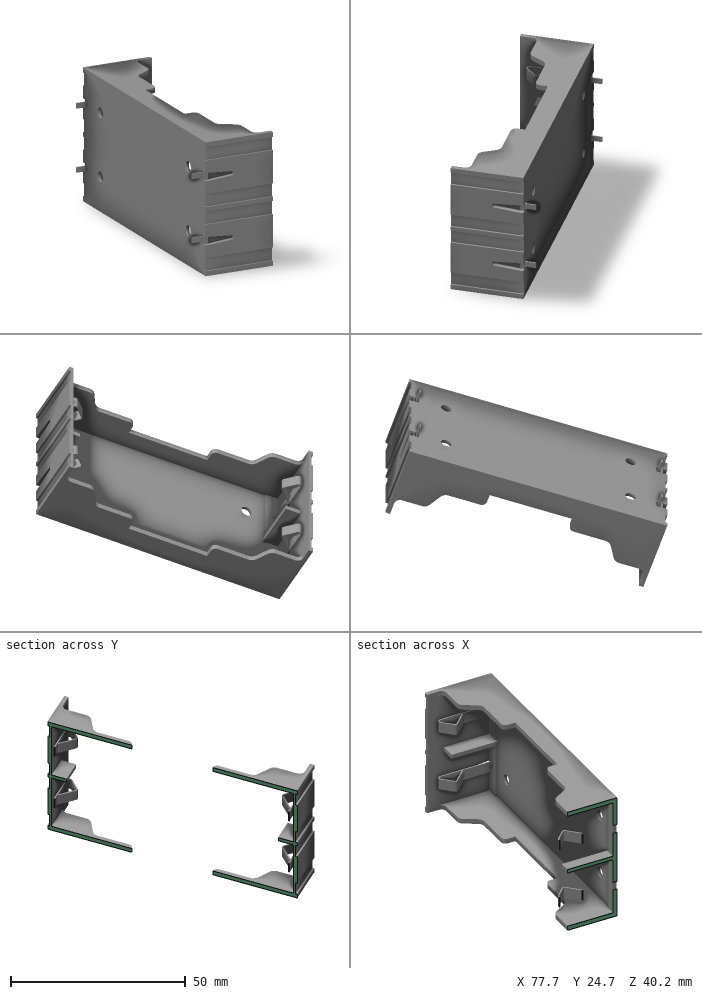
import cadquery as cq
import math

length = 77.7
width = 40.25
end_height = 21.5
wall = 1.3
side_wall = 1.55
floor_thickness = 1.0
end_floor_thickness = 1.4
end_floor_length = 3.9

shelf_height = 16.2
step_height = 10.4
notch_height = 6.5
notch_half_width = 12.5
ramp_top_x = 28.35
ramp_angle = 60.0
end_corner_radius = 1.7
ramp_radius = 2.3
notch_corner_radius = 1.55

rib_thickness = 1.3
rib_length = 4.7

cell_pitch = 19.3
cell_axes = [-cell_pitch / 2, cell_pitch / 2]

hole_diameter = 3.2
hole_spacing = 55.6

groove_depth = 0.55
groove_width = 4.0
groove_offset = 7.0

strip_thickness = 0.4
slot_width = 2.4
body_width = 3.4
pin_width = 1.6
pin_length = 3.2
shoulder_y = end_floor_thickness
terminal_top = 18.95
top_bend_radius = 1.0
spring_angle = 45.0
contact_reach = 4.7
contact_radius = 0.6
leg_clearance = 0.1
left_leg_inset = 2.2
right_leg_inset = 2.65

slot_length = 1.3
window_top = 9.1
window_tip_width = 1.2

ends = [(-1, left_leg_inset), (1, right_leg_inset)]


def box(x_range, y_range, z_range):
    """Axis-aligned box from its limits, given in either order."""
    spans = [sorted(limits) for limits in (x_range, y_range, z_range)]
    sizes = [high - low for low, high in spans]
    corner = cq.Vector(*[low for low, high in spans])
    return cq.Workplane(cq.Solid.makeBox(*sizes, corner))


def round_corners(body, x, y, radius):
    """Round the two mirrored outline corners at +x and -x."""
    reach = 0.1
    for side in (-1, 1):
        low = (side * x - reach, y - reach, -reach)
        high = (side * x + reach, y + reach, reach)
        body = body.edges(cq.selectors.BoxSelector(low, high)).fillet(radius)
    return body


def side_profile_body():
    """Solid block with the stepped outline of the long side walls."""
    half = length / 2
    inner = half - wall
    ramp_run = (shelf_height - step_height) / math.tan(math.radians(ramp_angle))
    ramp_foot_x = ramp_top_x - ramp_run
    right_edge = [
        (notch_half_width, notch_height),
        (notch_half_width, step_height),
        (ramp_foot_x, step_height),
        (ramp_top_x, shelf_height),
        (inner, shelf_height),
        (inner, end_height),
        (half, end_height),
        (half, 0),
    ]
    left_edge = [(-x, y) for x, y in reversed(right_edge)]
    block = cq.Workplane("XY").polyline(right_edge + left_edge).close().extrude(width / 2, both=True)
    block = round_corners(block, notch_half_width, step_height, notch_corner_radius)
    block = round_corners(block, ramp_foot_x, step_height, ramp_radius)
    block = round_corners(block, ramp_top_x, shelf_height, ramp_radius)
    return round_corners(block, inner, shelf_height, end_corner_radius)


def cavity():
    """Space for the cells, inside the floor, side walls and end walls."""
    x_inner = length / 2 - wall
    z_inner = width / 2 - side_wall
    return box((-x_inner, x_inner), (floor_thickness, end_height), (-z_inner, z_inner))


def end_floor(side):
    """Thicker floor next to an end wall, where the terminals pass through."""
    x_wall = side * (length / 2 - wall)
    z_inner = width / 2 - side_wall
    return box((x_wall, x_wall - side * end_floor_length), (0, end_floor_thickness), (-z_inner, z_inner))


def divider_rib(side):
    """Rib on the end wall, between the two cells."""
    x_wall = side * (length / 2 - wall)
    return box(
        (x_wall, x_wall - side * rib_length),
        (floor_thickness, shelf_height),
        (-rib_thickness / 2, rib_thickness / 2),
    )


def mounting_holes():
    """Round holes through the floor, two under each cell."""
    points = [(side * hole_spacing / 2, z) for side in (-1, 1) for z in cell_axes]
    return (
        cq.Workplane("XZ")
        .pushPoints(points)
        .circle(hole_diameter / 2)
        .extrude(-floor_thickness)
    )


def end_groove(side, z_center):
    """Shallow groove over the full height of an end wall."""
    x_outer = side * length / 2
    return box(
        (x_outer, x_outer - side * groove_depth),
        (0, end_height),
        (z_center - groove_width / 2, z_center + groove_width / 2),
    )


def wall_window(side, z_axis):
    """Opening through the end wall: straight beside the floor, then tapering towards its top."""
    half_base = slot_width / 2
    half_tip = window_tip_width / 2
    outline = [
        (0, -half_base),
        (end_floor_thickness, -half_base),
        (window_top, -half_tip),
        (window_top, half_tip),
        (end_floor_thickness, half_base),
        (0, half_base),
    ]
    plane = cq.Plane(origin=(side * length / 2, 0, z_axis), xDir=(0, 1, 0), normal=(1, 0, 0))
    return cq.Workplane(plane).polyline(outline).close().extrude(-side * wall)


def floor_slot(side, leg_inset, z_axis):
    """Slot through the floor for a terminal pin."""
    x_leg = side * (length / 2 - leg_inset)
    return box(
        (x_leg - slot_length / 2, x_leg + slot_length / 2),
        (0, end_floor_thickness),
        (z_axis - slot_width / 2, z_axis + slot_width / 2),
    )


def make_housing():
    """Tray with its ribs, holes, grooves and terminal openings."""
    body = side_profile_body().cut(cavity()).cut(mounting_holes())
    for side, leg_inset in ends:
        body = body.union(end_floor(side)).union(divider_rib(side))
        for z_axis in cell_axes:
            for offset in (-groove_offset, groove_offset):
                body = body.cut(end_groove(side, z_axis + offset))
            body = body.cut(wall_window(side, z_axis))
            body = body.cut(floor_slot(side, leg_inset, z_axis))
    return body


def make_terminal(side, leg_inset, z_axis):
    """Strip that rises from the pin, bends over the top and folds back at the contact point."""
    angle = math.radians(spring_angle)
    mid_radius = top_bend_radius - strip_thickness / 2
    bend_y = terminal_top - top_bend_radius

    def on_bend(turn):
        return (mid_radius * (1 - math.cos(turn)), bend_y + mid_radius * math.sin(turn))

    bend_end = on_bend(math.pi - angle)
    tip = (contact_reach, bend_end[1] - (contact_reach - bend_end[0]) / math.tan(angle))
    fold_trim = contact_radius * math.tan(math.pi / 2 - angle)
    fold_start = (tip[0] - fold_trim * math.sin(angle), tip[1] + fold_trim * math.cos(angle))
    fold_end = (fold_start[0], 2 * tip[1] - fold_start[1])
    fold_middle = (tip[0] - contact_radius * (1 / math.sin(angle) - 1), tip[1])
    tail_x = strip_thickness / 2 + leg_clearance + strip_thickness / 2 * math.cos(angle)
    tail = (tail_x, tip[1] - (tip[0] - tail_x) / math.tan(angle))

    x_leg = side * (length / 2 - leg_inset)
    bend_plane = cq.Plane(origin=(x_leg, 0, z_axis), xDir=(-side, 0, 0), normal=(0, 0, -side))
    centre_line = (
        cq.Workplane(bend_plane)
        .moveTo(0, shoulder_y)
        .lineTo(0, bend_y)
        .threePointArc(on_bend((math.pi - angle) / 2), bend_end)
        .lineTo(*fold_start)
        .threePointArc(fold_middle, fold_end)
        .lineTo(*tail)
    )
    strip = (
        cq.Workplane("XZ", origin=(x_leg, shoulder_y, z_axis))
        .rect(strip_thickness, body_width)
        .sweep(centre_line)
    )
    pin = box(
        (x_leg - strip_thickness / 2, x_leg + strip_thickness / 2),
        (-pin_length, shoulder_y),
        (z_axis - pin_width / 2, z_axis + pin_width / 2),
    )
    return strip.union(pin)


housing = make_housing()
terminals = [make_terminal(side, inset, z_axis) for side, inset in ends for z_axis in cell_axes]
result = cq.Compound.makeCompound([housing.val(), *[terminal.val() for terminal in terminals]])